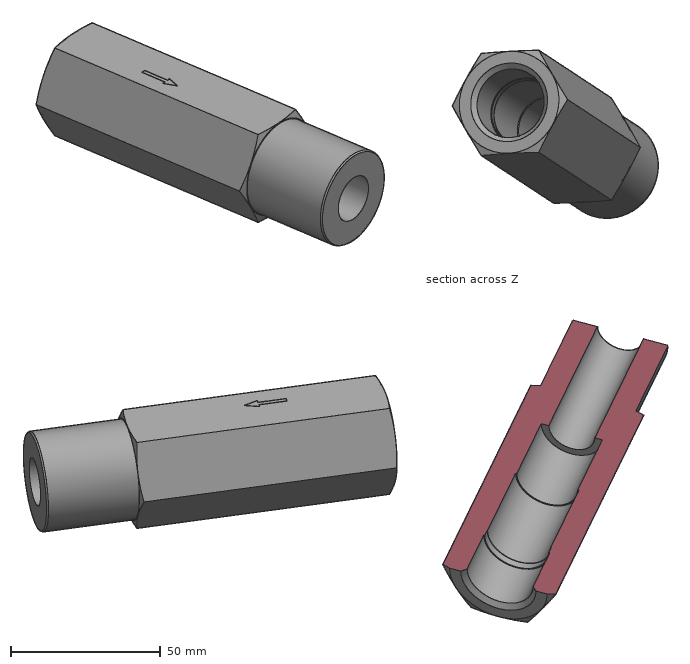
import cadquery as cq
import math

total_length = 120.6
hex_across_corners = 40.3
hex_length = 88.8
hex_across_flats = hex_across_corners * math.cos(math.pi / 6)

hex_chamfer_diameter = 34.7
hex_chamfer_angle = 18

spigot_diameter = 34.1
tip_chamfer_length = 0.6
tip_chamfer_height = 0.4

mouth_diameter = 26.8
mouth_depth = 1.7
bore_steps = [
    (23.4, 18.1),
    (22.7, 20.5),
    (22.5, 48.3),
    (21.6, 72.4),
    (16.3, total_length),
]

arrow_tail_x = 33.2
arrow_shaft_length = 9.8
arrow_head_length = 4.8
arrow_shaft_width = 1.5
arrow_head_width = 3.6
arrow_y = -3.0
arrow_depth = 0.1


def revolve_about_x(profile):
    """Revolve a list of (x, radius) points around the X axis."""
    return cq.Workplane("XY").polyline(profile).close().revolve(360, (0, 0, 0), (1, 0, 0))


def hexagon_body():
    """Hexagonal bar with flats facing up and down and both ends chamfered."""
    bar = cq.Workplane("YZ").polygon(6, hex_across_corners).extrude(hex_length)
    face_radius = hex_chamfer_diameter / 2
    outer_radius = hex_across_corners
    chamfer_length = (outer_radius - face_radius) * math.tan(math.radians(hex_chamfer_angle))
    envelope = revolve_about_x([
        (0, 0),
        (0, face_radius),
        (chamfer_length, outer_radius),
        (hex_length - chamfer_length, outer_radius),
        (hex_length, face_radius),
        (hex_length, 0),
    ])
    return bar.intersect(envelope)


def spigot():
    """Round end with a small chamfer at its tip, rooted inside the hexagon."""
    radius = spigot_diameter / 2
    return revolve_about_x([
        (hex_length / 2, 0),
        (hex_length / 2, radius),
        (total_length - tip_chamfer_length, radius),
        (total_length, radius - tip_chamfer_height),
        (total_length, 0),
    ])


def bore():
    """Stepped hole that runs through the whole part."""
    profile = [(0, 0), (0, mouth_diameter / 2)]
    step_start = mouth_depth
    for diameter, step_end in bore_steps:
        profile.append((step_start, diameter / 2))
        profile.append((step_end, diameter / 2))
        step_start = step_end
    profile.append((total_length, 0))
    return revolve_about_x(profile)


def flow_arrow():
    """Shallow arrow pointing towards the spigot."""
    head_x = arrow_tail_x + arrow_shaft_length
    tip_x = head_x + arrow_head_length
    shaft_half = arrow_shaft_width / 2
    head_half = arrow_head_width / 2
    outline = [
        (arrow_tail_x, arrow_y - shaft_half),
        (head_x, arrow_y - shaft_half),
        (head_x, arrow_y - head_half),
        (tip_x, arrow_y),
        (head_x, arrow_y + head_half),
        (head_x, arrow_y + shaft_half),
        (arrow_tail_x, arrow_y + shaft_half),
    ]
    top_flat = cq.Workplane("XY").workplane(offset=hex_across_flats / 2)
    return top_flat.polyline(outline).close().extrude(-arrow_depth)


result = hexagon_body().union(spigot()).cut(bore()).cut(flow_arrow())